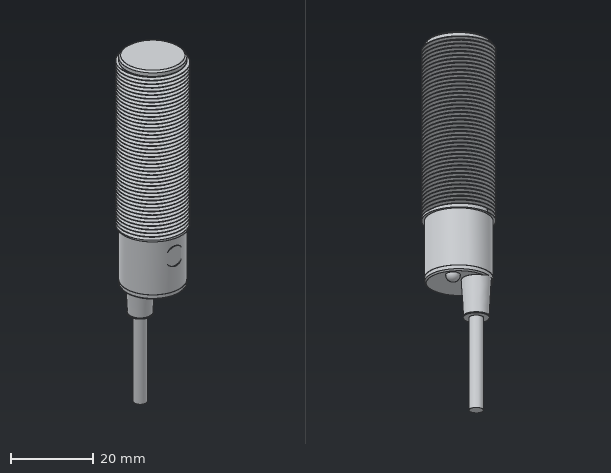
import cadquery as cq

total_height = 97.0
thread_top = 95.5
thread_bottom = 50.4
body_bottom = 34.1
boot_bottom = 24.25

thread_diameter = 18.0
core_diameter = 16.5
thread_pitch = 1.0
root_width = 0.1
mouth_width = 1.0
groove_overshoot = 0.1
groove_start = 50.9
groove_start_angle = 165.0
turns_per_section = 9
groove_sections = 5
cap_diameter = 16.6
cap_chamfer = 0.5

body_diameter = 16.7
rear_rim_height = 1.4
rear_chamfer = 0.4
rim_step = 0.1
window_diameter = 5.5
window_depth = 0.3
window_height = 45.1

cable_diameter = 3.6
cable_x = -4.7
boot_top_diameter = 7.5
boot_end_diameter = 6.3
boot_lip_diameter = 6.5
boot_lip_height = 0.3
dome_diameter = 3.6
dome_x = -0.9
dome_y = 5.4


def cylinder(diameter, bottom, top, x=0.0):
    """Upright cylinder between two heights."""
    return cq.Workplane("XY", origin=(x, 0, bottom)).circle(diameter / 2).extrude(top - bottom)


def make_groove_section():
    """Right-handed V groove of a few turns, starting at the lowest groove centre."""
    root_radius = core_diameter / 2
    mouth_radius = thread_diameter / 2 + groove_overshoot
    helix = cq.Wire.makeHelix(thread_pitch, turns_per_section * thread_pitch, root_radius)
    return (
        cq.Workplane("XZ")
        .polyline([
            (root_radius, -root_width / 2),
            (mouth_radius, -mouth_width / 2),
            (mouth_radius, mouth_width / 2),
            (root_radius, root_width / 2),
        ])
        .close()
        .sweep(cq.Workplane(obj=helix), isFrenet=True)
        .rotate((0, 0, 0), (0, 0, 1), groove_start_angle)
        .translate((0, 0, groove_start))
    )


def make_barrel():
    """Barrel with a continuous thread groove, cut as stacked sections, and its front cap."""
    barrel = cylinder(thread_diameter, thread_bottom, thread_top)
    section = make_groove_section()
    for index in range(groove_sections):
        rise = index * turns_per_section * thread_pitch
        barrel = barrel.cut(section.translate((0, 0, rise)), clean=False)
    cap = cylinder(cap_diameter, thread_top, total_height).faces(">Z").chamfer(cap_chamfer)
    return barrel.union(cap, clean=False)


def make_body():
    """Smooth rear housing with a stepped rim and a shallow round window on +X."""
    rim_top = body_bottom + rear_rim_height
    body = cylinder(body_diameter, rim_top, thread_bottom)
    rim = cylinder(body_diameter - rim_step, body_bottom, rim_top).faces("<Z").chamfer(rear_chamfer)
    window_floor = body_diameter / 2 - window_depth
    window = (
        cq.Workplane("YZ", origin=(window_floor, 0, window_height))
        .circle(window_diameter / 2)
        .extrude(2 * window_depth)
    )
    return body.cut(window).union(rim)


def make_boot():
    """Tapered boot with a thin lip at the cable end."""
    taper_end = boot_bottom + boot_lip_height
    taper_top = body_bottom + rear_rim_height
    taper = (
        cq.Workplane("XY", origin=(cable_x, 0, taper_top))
        .circle(boot_top_diameter / 2)
        .workplane(offset=taper_end - taper_top)
        .circle(boot_end_diameter / 2)
        .loft()
    )
    return taper.union(cylinder(boot_lip_diameter, boot_bottom, taper_end, cable_x))


cable = cylinder(cable_diameter, 0, boot_bottom, cable_x)
dome = cq.Workplane("XY").sphere(dome_diameter / 2).translate((dome_x, dome_y, body_bottom))

result = make_barrel()
for piece in (make_body(), make_boot(), cable, dome):
    result = result.union(piece, clean=False)